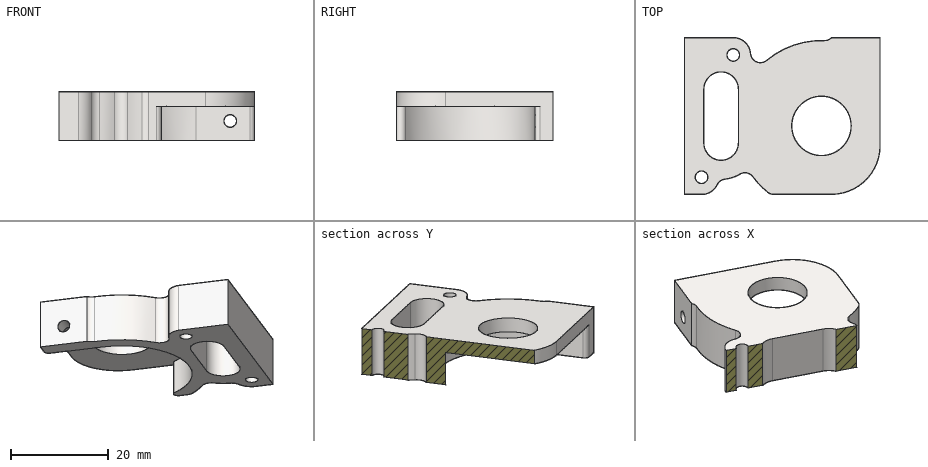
import cadquery as cq
import math

LENGTH, WIDTH, HEIGHT = 40.0, 32.0, 10.0
PLATE_THICKNESS = 3.0
CORNER_RADIUS = 10.0

BORE_CENTER = (28.0, 14.0)
BORE_DIAMETER = 12.1
HOUSING_RADIUS = 17.45
HOUSING_FOOT_RADIUS = 2.0
STEP_CENTER_X = 28.65

POCKET_START_X = 19.9
POCKET_EDGE_RADIUS = 1.0

SLOT_X = 7.5
SLOT_WIDTH = 7.0
SLOT_LENGTH = 18.0
SLOT_BOSS_RADIUS = 7.45

SCREW_DIAMETER = 2.5
SCREW_INSET = 3.5
LOBE_RADIUS = 3.55
LOWER_SCREW = (SCREW_INSET, SCREW_INSET)
UPPER_SCREW = (10.0, WIDTH - SCREW_INSET)
VALLEY_RADIUS = 2.0

CROSS_HOLE_X, CROSS_HOLE_Z = 35.0, 4.0

SLOT_CENTER = (SLOT_X, WIDTH / 2)
SLOT_LOWER_CENTER = (SLOT_X, WIDTH / 2 - (SLOT_LENGTH - SLOT_WIDTH) / 2)


def leg(hypotenuse, other_leg):
    """Remaining side of a right triangle."""
    return math.sqrt(hypotenuse**2 - other_leg**2)


def toward(center, target, distance):
    """Point at a distance from center, on the ray to target."""
    span = math.dist(center, target)
    return tuple(c + (t - c) * distance / span for c, t in zip(center, target))


def valley_center(first, first_radius, second, second_radius):
    """Center of the valley arc touching two circles, on the right of the line from first to second."""
    a = first_radius + VALLEY_RADIUS
    b = second_radius + VALLEY_RADIUS
    span = math.dist(first, second)
    along = (a**2 - b**2 + span**2) / (2 * span)
    aside = leg(a, along)
    ux, uy = ((s - f) / span for f, s in zip(first, second))
    return (first[0] + along * ux + aside * uy, first[1] + along * uy - aside * ux)


def arc_to(path, center, start, end):
    """Add the shorter arc about center from start to end."""
    bisector = tuple(s + e - c for s, e, c in zip(start, end, center))
    return path.threePointArc(toward(center, bisector, math.dist(center, start)), end)


def make_block():
    """Full-height body with the wavy front and rear edges."""
    lobe_chord = leg(LOBE_RADIUS, SCREW_INSET)
    lower_start = (LOWER_SCREW[0] + lobe_chord, 0)
    valley_1 = valley_center(LOWER_SCREW, LOBE_RADIUS, SLOT_LOWER_CENTER, SLOT_BOSS_RADIUS)
    valley_2 = valley_center(SLOT_LOWER_CENTER, SLOT_BOSS_RADIUS, BORE_CENTER, HOUSING_RADIUS)
    foot_offset = leg(HOUSING_RADIUS - HOUSING_FOOT_RADIUS, BORE_CENTER[1] - HOUSING_FOOT_RADIUS)
    foot = (BORE_CENTER[0] - foot_offset, HOUSING_FOOT_RADIUS)
    front_curves = [
        (LOWER_SCREW, toward(LOWER_SCREW, valley_1, LOBE_RADIUS)),
        (valley_1, toward(SLOT_LOWER_CENTER, valley_1, SLOT_BOSS_RADIUS)),
        (SLOT_LOWER_CENTER, toward(SLOT_LOWER_CENTER, valley_2, SLOT_BOSS_RADIUS)),
        (valley_2, toward(BORE_CENTER, valley_2, HOUSING_RADIUS)),
        (BORE_CENTER, toward(BORE_CENTER, foot, HOUSING_RADIUS)),
        (foot, (foot[0], 0)),
    ]

    step_rise = leg(HOUSING_RADIUS + VALLEY_RADIUS, STEP_CENTER_X - BORE_CENTER[0])
    step = (STEP_CENTER_X, BORE_CENTER[1] + step_rise)
    rear_start = (STEP_CENTER_X + leg(VALLEY_RADIUS, step[1] - WIDTH), WIDTH)
    valley_3 = valley_center(BORE_CENTER, HOUSING_RADIUS, UPPER_SCREW, LOBE_RADIUS)
    rear_curves = [
        (step, toward(BORE_CENTER, step, HOUSING_RADIUS)),
        (BORE_CENTER, toward(BORE_CENTER, valley_3, HOUSING_RADIUS)),
        (valley_3, toward(UPPER_SCREW, valley_3, LOBE_RADIUS)),
        (UPPER_SCREW, (UPPER_SCREW[0] + lobe_chord, WIDTH)),
    ]

    path = cq.Workplane("XY").moveTo(0, 0).lineTo(*lower_start)
    start = lower_start
    for center, end in front_curves:
        path = arc_to(path, center, start, end)
        start = end
    corner = (LENGTH - CORNER_RADIUS, CORNER_RADIUS)
    corner_start = (corner[0], 0)
    corner_end = (LENGTH, corner[1])
    path = path.lineTo(*corner_start)
    path = arc_to(path, corner, corner_start, corner_end)
    path = path.lineTo(LENGTH, WIDTH).lineTo(*rear_start)
    start = rear_start
    for center, end in rear_curves:
        path = arc_to(path, center, start, end)
        start = end
    return path.lineTo(0, WIDTH).close().extrude(HEIGHT)


def make_pocket():
    """Space under the plate, open to the front and right, round about the bore."""
    r = POCKET_EDGE_RADIUS
    edge = (POCKET_START_X, r)
    pocket_radius = math.dist(edge, BORE_CENTER) - r
    rear_y = BORE_CENTER[1] + pocket_radius
    edge_start = (POCKET_START_X, 0)
    edge_end = toward(edge, BORE_CENTER, r)
    pocket_rear = (BORE_CENTER[0], rear_y)
    rear_edge = (LENGTH - r, rear_y + r)

    path = cq.Workplane("XY").moveTo(*edge_start)
    path = arc_to(path, edge, edge_start, edge_end)
    path = arc_to(path, BORE_CENTER, edge_end, pocket_rear)
    path = path.lineTo(rear_edge[0], rear_y)
    path = arc_to(path, rear_edge, (rear_edge[0], rear_y), (LENGTH, rear_edge[1]))
    return path.lineTo(LENGTH, 0).close().extrude(HEIGHT - PLATE_THICKNESS)


bore = cq.Workplane("XY").center(*BORE_CENTER).circle(BORE_DIAMETER / 2).extrude(HEIGHT)
slot = cq.Workplane("XY").center(*SLOT_CENTER).slot2D(SLOT_LENGTH, SLOT_WIDTH, 90).extrude(HEIGHT)
screw_holes = (
    cq.Workplane("XY")
    .pushPoints([LOWER_SCREW, UPPER_SCREW])
    .circle(SCREW_DIAMETER / 2)
    .extrude(HEIGHT)
)
cross_hole = (
    cq.Workplane("XZ")
    .center(CROSS_HOLE_X, CROSS_HOLE_Z)
    .circle(SCREW_DIAMETER / 2)
    .extrude(-WIDTH)
)

result = make_block()
for cutter in (make_pocket(), bore, slot, screw_holes, cross_hole):
    result = result.cut(cutter)